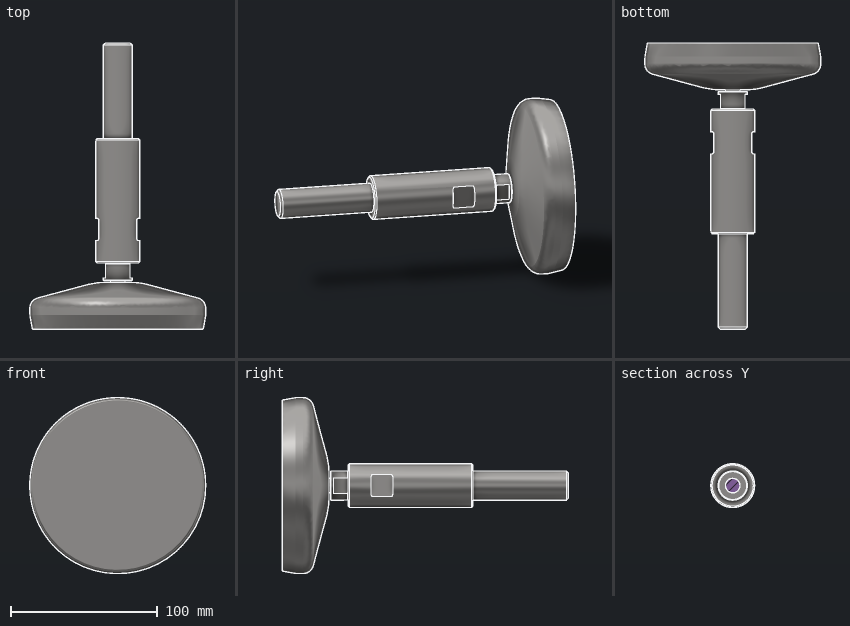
import cadquery as cq
import math

total_length = 195.0
sleeve_top = 130.0
sleeve_bottom = 45.0
neck_bottom = 33.0
pad_top = 32.0

pad_radius = 60.0
pad_bottom_radius = 58.3
pad_rim_bottom = 9.5
pad_crest_radius = 15.0
pad_cone_angle = 15.0
pad_shoulder_fillet = 7.3
pad_crest_fillet = 40.0
pad_bottom_fillet = 1.0

stem_radius = 5.0

neck_radius = 10.0
neck_chamfer = 0.5
neck_across_flats = 17.0
neck_flat_bottom = 35.0

sleeve_radius = 15.0
sleeve_chamfer = 1.0
sleeve_across_flats = 26.0
sleeve_flat_bottom = 60.5
sleeve_flat_top = 75.5
sleeve_flat_fillet = 1.2

rod_radius = 10.0
rod_chamfer = 1.5

selection_margin = 0.1


def cylinder(radius, bottom, top):
    """Round bar about the Y axis between two heights."""
    return cq.Workplane("XZ", origin=(0, bottom, 0)).circle(radius).extrude(bottom - top)


def edges_at(height):
    """Selector for the edges lying in the plane Y = height."""
    reach = 2 * pad_radius
    low = (-reach, height - selection_margin, -reach)
    high = (reach, height + selection_margin, reach)
    return cq.selectors.BoxSelector(low, high, boundingbox=True)


def make_pad():
    """Conical pad with a short cylindrical rim, tapering in towards its bottom face."""
    cone_drop = (pad_radius - pad_crest_radius) * math.tan(math.radians(pad_cone_angle))
    shoulder = pad_top - cone_drop
    profile = [
        (0, 0),
        (pad_bottom_radius, 0),
        (pad_radius, pad_rim_bottom),
        (pad_radius, shoulder),
        (pad_crest_radius, pad_top),
        (0, pad_top),
    ]
    pad = cq.Workplane("XY").polyline(profile).close().revolve(360, (0, 0, 0), (0, 1, 0))

    pad = pad.edges(edges_at(shoulder)).fillet(pad_shoulder_fillet)
    pad = pad.edges(edges_at(pad_top)).fillet(pad_crest_fillet)
    return pad.edges(edges_at(0)).fillet(pad_bottom_fillet)


def flat_cutters(across_flats, bottom, top, outer_radius, floor_fillet=0):
    """Two blocks that leave flats facing -X and +X, with optional rounded floor corners."""
    cutters = cq.Workplane("XY")
    for side in (-1, 1):
        block = cq.Workplane("XY").box(outer_radius, top - bottom, 2 * outer_radius)
        if floor_fillet:
            floor = "<X" if side > 0 else ">X"
            block = block.faces(floor).edges("|Z").fillet(floor_fillet)
        center = (side * (across_flats + outer_radius) / 2, (bottom + top) / 2, 0)
        cutters = cutters.add(block.translate(center))
    return cutters.combine()


def make_neck():
    neck = cylinder(neck_radius, neck_bottom, sleeve_bottom)
    neck = neck.faces("<Y or >Y").chamfer(neck_chamfer)
    return neck.cut(flat_cutters(neck_across_flats, neck_flat_bottom, sleeve_bottom, neck_radius))


def make_sleeve():
    sleeve = cylinder(sleeve_radius, sleeve_bottom, sleeve_top)
    sleeve = sleeve.faces("<Y or >Y").chamfer(sleeve_chamfer)
    return sleeve.cut(flat_cutters(
        sleeve_across_flats, sleeve_flat_bottom, sleeve_flat_top, sleeve_radius, sleeve_flat_fillet
    ))


def make_rod():
    return cylinder(rod_radius, sleeve_top, total_length).faces(">Y").chamfer(rod_chamfer)


stem = cylinder(stem_radius, pad_top, neck_bottom)

result = make_pad().union(stem).union(make_neck()).union(make_sleeve()).union(make_rod())